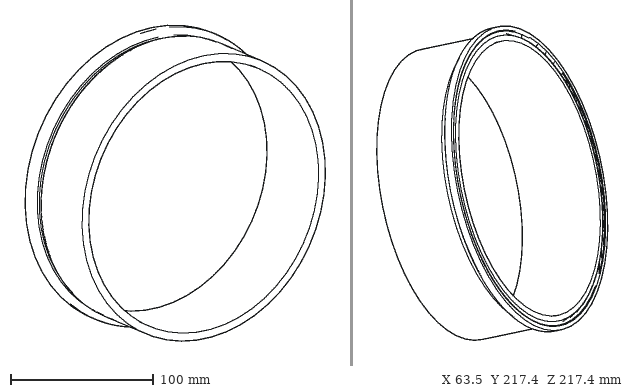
import cadquery as cq
import math

length = 63.5
flange_radius = 108.7
tube_radius = 104.1
bore_radius = 98.3

flange_rim_width = 5.7
clamp_angle = math.radians(20)
neck_radius = 102.6
neck_end = 11.5
flange_rim_fillet = 1.0
neck_fillet = 1.3
shoulder_fillet = 0.9

gasket_radius = 103.7
gasket_half_width = 1.5
gasket_depth = 1.5
gasket_lip_fillet = 0.7

neck_start = flange_rim_width + (flange_radius - neck_radius) * math.tan(clamp_angle)
shoulder_end = neck_end + (tube_radius - neck_radius)


def edge_circle(body, x, radius):
    """Select the circular edge of the given radius at the given axial position."""
    tolerance = 0.1
    return body.edges(
        cq.selectors.BoxSelector(
            (x - tolerance, -radius - tolerance, -radius - tolerance),
            (x + tolerance, radius + tolerance, radius + tolerance),
            boundingbox=True,
        )
    ).edges(cq.selectors.RadiusNthSelector(-1))


def ring_blank():
    """Revolve the sharp-cornered section, drawn as axial position and radius."""
    return (
        cq.Workplane("XZ")
        .moveTo(0, bore_radius)
        .lineTo(0, gasket_radius - gasket_half_width)
        .threePointArc((gasket_depth, gasket_radius), (0, gasket_radius + gasket_half_width))
        .lineTo(0, flange_radius)
        .lineTo(flange_rim_width, flange_radius)
        .lineTo(neck_start, neck_radius)
        .lineTo(neck_end, neck_radius)
        .lineTo(shoulder_end, tube_radius)
        .lineTo(length, tube_radius)
        .lineTo(length, bore_radius)
        .close()
        .revolve(360, (0, 0, 0), (1, 0, 0))
    )


rounded_corners = [
    (flange_rim_width, flange_radius, flange_rim_fillet),
    (neck_start, neck_radius, neck_fillet),
    (shoulder_end, tube_radius, shoulder_fillet),
    (0, gasket_radius + gasket_half_width, gasket_lip_fillet),
    (0, gasket_radius - gasket_half_width, gasket_lip_fillet),
]

result = ring_blank()
for x, radius, fillet in rounded_corners:
    result = edge_circle(result, x, radius).fillet(fillet)